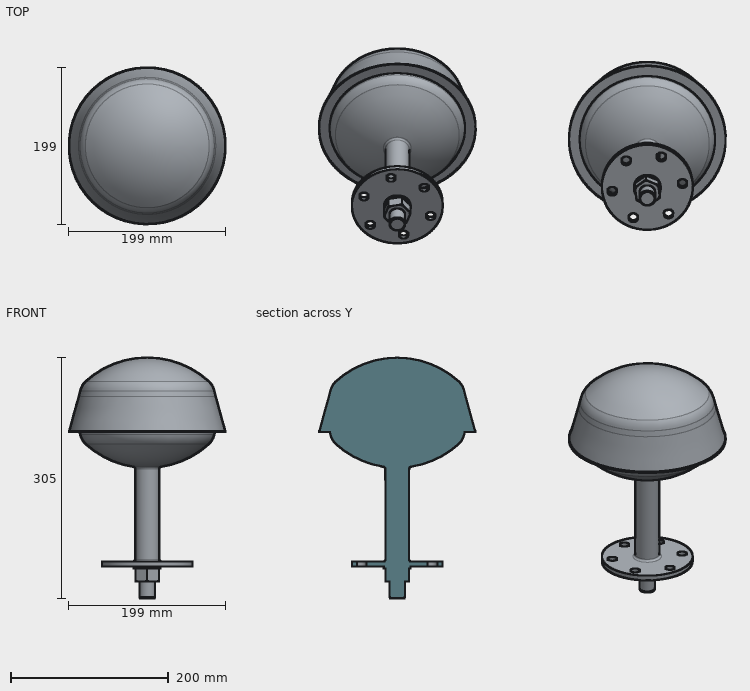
import cadquery as cq
import math

total_height = 305.0
nut_bottom = 21.0
washer_bottom = 37.5
flange_bottom = 40.0
flange_top = 46.7
rim_bottom = 210.5
rim_top = 212.0

lens_height = 140.0
cap_height = 30.5
cap_radius = 78.5
shoulder_height = 12.0
shoulder_radius = 85.0
shoulder_arc_radius = 24.5

skirt_top_radius = 87.0
skirt_bottom_radius = 98.8
skirt_height = 43.3
rim_radius = 99.5

stem_radius = 15.2
stem_fillet = 2.7
flange_radius = 57.5
bolt_circle_radius = 44.8
bolt_hole_diameter = 12.0
bolt_hole_count = 6
washer_radius = 17.0
nut_across_flats = 30.0
nut_chamfer = 1.2
stud_radius = 10.0
stud_chamfer = 1.8
stud_chamfer_inset = 1.0

lens_bottom = total_height - lens_height


def arc_middle(start, end, radius):
    """Point halfway along an arc that bulges to the right of start -> end."""
    dx = end[0] - start[0]
    dz = end[1] - start[1]
    chord = math.hypot(dx, dz)
    sagitta = radius - math.sqrt(radius**2 - (chord / 2) ** 2)
    return (
        (start[0] + end[0]) / 2 + sagitta * dz / chord,
        (start[1] + end[1]) / 2 - sagitta * dx / chord,
    )


def make_head():
    """Two spherical caps with rounded shoulders, joined by the skirt and its rim."""
    sphere_radius = (cap_radius**2 + cap_height**2) / (2 * cap_height)
    lower_pole = (0, lens_bottom)
    lower_cap = (cap_radius, lens_bottom + cap_height)
    lower_shoulder = (shoulder_radius, lower_cap[1] + shoulder_height)
    upper_pole = (0, total_height)
    upper_cap = (cap_radius, total_height - cap_height)
    upper_shoulder = (shoulder_radius, upper_cap[1] - shoulder_height)

    skirt_top = rim_top + skirt_height
    flare = (skirt_top_radius - shoulder_radius) / (upper_shoulder[1] - skirt_top)
    underside_radius = shoulder_radius + flare * (rim_bottom - lower_shoulder[1])

    profile = (
        cq.Workplane("XZ")
        .moveTo(*lower_pole)
        .threePointArc(arc_middle(lower_pole, lower_cap, sphere_radius), lower_cap)
        .threePointArc(arc_middle(lower_cap, lower_shoulder, shoulder_arc_radius), lower_shoulder)
        .lineTo(underside_radius, rim_bottom)
        .lineTo(rim_radius, rim_bottom)
        .lineTo(rim_radius, rim_top)
        .lineTo(skirt_bottom_radius, rim_top)
        .lineTo(skirt_top_radius, skirt_top)
        .lineTo(*upper_shoulder)
        .threePointArc(arc_middle(upper_shoulder, upper_cap, shoulder_arc_radius), upper_cap)
        .threePointArc(arc_middle(upper_cap, upper_pole, sphere_radius), upper_pole)
        .close()
    )
    return profile.revolve(360, (0, 0, 0), (0, 1, 0))


def make_disc(radius, bottom, top):
    return cq.Workplane("XY").workplane(offset=bottom).circle(radius).extrude(top - bottom)


def make_flange():
    """Round mounting plate with a ring of through holes."""
    return (
        make_disc(flange_radius, flange_bottom, flange_top)
        .faces(">Z")
        .workplane()
        .polarArray(bolt_circle_radius, 0, 360, bolt_hole_count)
        .hole(bolt_hole_diameter)
    )


def make_stem():
    """Column running into the head, with a concave fillet onto the flange."""
    foot_radius = stem_radius + stem_fillet
    fillet_top = flange_top + stem_fillet
    fillet_offset = stem_fillet * (1 - math.sqrt(0.5))
    return (
        cq.Workplane("XZ")
        .moveTo(0, flange_top)
        .lineTo(foot_radius, flange_top)
        .threePointArc(
            (stem_radius + fillet_offset, flange_top + fillet_offset),
            (stem_radius, fillet_top),
        )
        .lineTo(stem_radius, rim_bottom)
        .lineTo(0, rim_bottom)
        .close()
        .revolve(360, (0, 0, 0), (0, 1, 0))
    )


def make_nut():
    """Hexagon with flats facing X, its lower corners turned off by a 45 degree cone."""
    across_corners = nut_across_flats / math.cos(math.pi / 6)
    height = washer_bottom - nut_bottom
    hexagon = (
        cq.Workplane("XY")
        .workplane(offset=nut_bottom)
        .transformed(rotate=(0, 0, 90))
        .polygon(6, across_corners)
        .extrude(height)
    )
    turned_blank = (
        make_disc(across_corners / 2, nut_bottom, washer_bottom).faces("<Z").chamfer(nut_chamfer)
    )
    return hexagon.intersect(turned_blank)


def make_stud():
    """Stud with a tapered lower tip."""
    return (
        cq.Workplane("XZ")
        .lineTo(stud_radius - stud_chamfer_inset, 0)
        .lineTo(stud_radius, stud_chamfer)
        .lineTo(stud_radius, flange_bottom)
        .lineTo(0, flange_bottom)
        .close()
        .revolve(360, (0, 0, 0), (0, 1, 0))
    )


def make_head_on_stem():
    """Head and stem joined, with a concave fillet where the stem meets the lower cap."""
    joined = make_head().union(make_stem())
    neck_edge = cq.selectors.BoxSelector(
        (-stem_radius, -stem_radius, lens_bottom),
        (stem_radius, stem_radius, lens_bottom + stem_fillet),
    )
    return joined.edges(neck_edge).fillet(stem_fillet)


result = (
    make_head_on_stem()
    .union(make_flange())
    .union(make_disc(washer_radius, washer_bottom, flange_bottom))
    .union(make_nut())
    .union(make_stud())
)